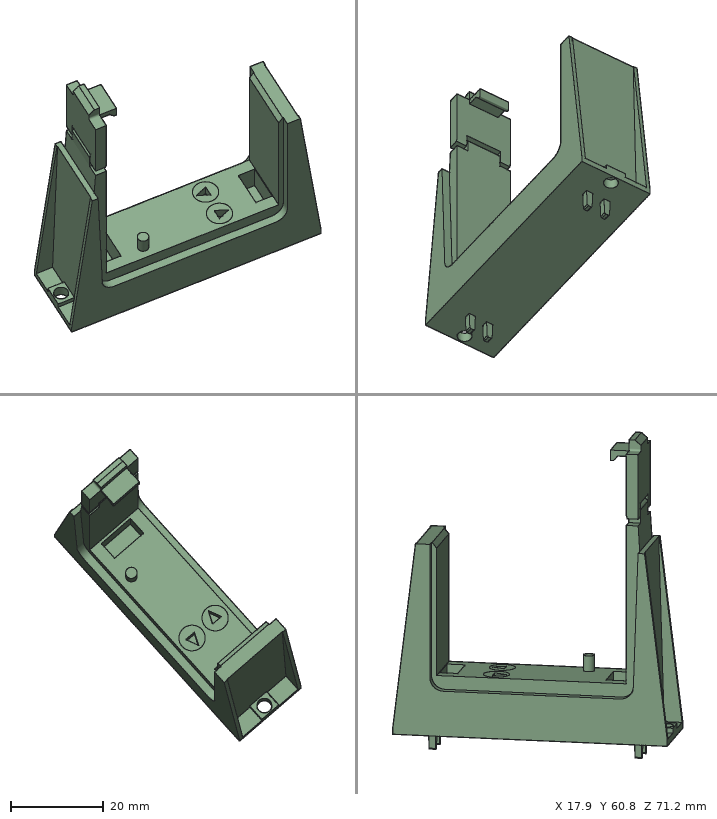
import cadquery as cq


width = 17.9
length = 60.8
leg_height = 42.75
leg_top_length = 50.7
foot_height = 1.5

channel_floor = 10.1
channel_radius = 3.0
channel_back = 22.15
channel_front_low = -22.8
channel_front_high = -23.95

liner_width = 14.05
liner_floor = 13.1
liner_back = 21.0
liner_bevel_length = 1.0
liner_bevel_height = 1.2
arm_inner = -20.95
arm_outer = -23.6
arm_top = 48.45

tongue_width = 8.4
tongue_edge = 51.45
tongue_top = 52.2

flange = 0.9
pocket_floor_y = 26.4
pocket_top_y = 25.2
boss_width = 4.9
boss_height = 2.6
mount_hole_diameter = 3.2
mount_hole_y = 28.4

latch_pocket_width = 8.4
latch_pocket_depth = 5.7
back_pocket_start = 16.9
back_pocket_end = 20.9
front_pocket_start = -20.3
front_pocket_end = -15.95

button_diameter = 5.7
button_height = 2.85
button_x = 3.35
button_y = 8.5
arrow_width = 2.5
arrow_base = -0.65
arrow_tip = 2.2
arrow_depth = 2.15

post_diameter = 2.5
post_height = 3.5
post_x = 4.1
post_y = -10.55

latch_bottom = 49.95
latch_shoulder = 64.35
latch_top = 66.8
latch_head_width = 7.5
latch_bevel_length = 1.35
latch_bevel_height = 1.15
latch_corner_radius = 0.5
latch_heel_depth = 0.2
latch_heel_height = 0.7
notch_width = 8.8
notch_top = 52.95
hook_end = -16.8
hook_thickness = 1.3
hook_drop = 2.35
hook_tip_end = -17.45
hook_ramp_end = -18.45
hook_tip_radius = 0.2

pin_length = 4.4
pin_depth = 1.5
pin_root_width = 1.65
pin_end_width = 1.3
pin_bevel = 0.3
pin_x = 2.3
pin_y = 22.8


def side_profile(points, across):
    """Extrude a closed (Y, Z) outline symmetrically about X = 0."""
    return cq.Workplane("YZ").polyline(points).close().extrude(across / 2, both=True)


def block(across, y_range, z_range):
    """Box centred on X = 0 between the given Y and Z limits."""
    size_y = y_range[1] - y_range[0]
    size_z = z_range[1] - z_range[0]
    return (
        cq.Workplane("XY")
        .box(across, size_y, size_z, centered=(True, False, False))
        .translate((0, y_range[0], z_range[0]))
    )


def make_cradle():
    half_length = length / 2
    half_top = leg_top_length / 2
    shell = side_profile(
        [
            (-half_length, 0),
            (half_length, 0),
            (half_length, foot_height),
            (half_top, leg_height),
            (-half_top, leg_height),
            (-half_length, foot_height),
        ],
        width,
    )
    channel = side_profile(
        [
            (channel_back, channel_floor),
            (channel_back, leg_height),
            (channel_front_high, leg_height),
            (channel_front_low, channel_floor),
        ],
        width,
    )
    return shell.cut(channel.edges("|X and <Z").fillet(channel_radius))


def make_liner():
    return side_profile(
        [
            (channel_back, channel_floor),
            (channel_back, leg_height),
            (liner_back + liner_bevel_length, leg_height),
            (liner_back, leg_height - liner_bevel_height),
            (liner_back, liner_floor),
            (arm_inner, liner_floor),
            (arm_inner, arm_top),
            (arm_outer, arm_top),
            (channel_front_high, leg_height),
            (channel_front_low, channel_floor),
        ],
        liner_width,
    )


def make_tongue():
    """Tongue on the arm, with a top crowned from front to back."""
    return (
        cq.Workplane("YZ")
        .moveTo(arm_inner, arm_top)
        .lineTo(arm_inner, tongue_edge)
        .threePointArc(((arm_inner + arm_outer) / 2, tongue_top), (arm_outer, tongue_edge))
        .lineTo(arm_outer, arm_top)
        .close()
        .extrude(tongue_width / 2, both=True)
    )


def make_end_pocket():
    """Pocket in the +Y end, deepest at the floor and very shallow at the top of the leg."""
    return side_profile(
        [
            (pocket_floor_y, foot_height),
            (length / 2, foot_height),
            (leg_top_length / 2, leg_height),
            (pocket_top_y, leg_height),
        ],
        width - 2 * flange,
    )


def make_end_boss():
    """Boss on the +Y end floor, rooted in the leg behind the pocket wall."""
    return block(boss_width, (leg_top_length / 2, length / 2), (0, boss_height))


def make_housing():
    housing = make_cradle().union(make_liner()).union(make_tongue())
    for turn in (0, 180):
        housing = housing.cut(make_end_pocket().rotate((0, 0, 0), (0, 0, 1), turn))
        housing = housing.union(make_end_boss().rotate((0, 0, 0), (0, 0, 1), turn))
    mount_holes = (
        cq.Workplane("XY")
        .pushPoints([(0, mount_hole_y), (0, -mount_hole_y)])
        .circle(mount_hole_diameter / 2)
        .extrude(boss_height)
    )
    housing = housing.cut(mount_holes)
    pocket_heights = (liner_floor - latch_pocket_depth, liner_floor)
    for y_range in ((back_pocket_start, back_pocket_end), (front_pocket_start, front_pocket_end)):
        housing = housing.cut(block(latch_pocket_width, y_range, pocket_heights))
    button_seats = (
        cq.Workplane("XY", origin=(0, 0, liner_floor))
        .pushPoints([(-button_x, button_y), (button_x, button_y)])
        .circle(button_diameter / 2)
        .extrude(-button_height)
    )
    return housing.cut(button_seats)


def make_button(x, arrow_turn):
    """Round button flush with the liner floor, with a sunk arrow turned about its centre."""
    body = cq.Workplane("XY").circle(button_diameter / 2).extrude(-button_height)
    arrow = (
        cq.Workplane("XY")
        .polyline([(-arrow_width / 2, arrow_base), (arrow_width / 2, arrow_base), (0, arrow_tip)])
        .close()
        .extrude(-arrow_depth)
        .rotate((0, 0, 0), (0, 0, 1), arrow_turn)
    )
    return body.cut(arrow).translate((x, button_y, liner_floor))


def make_post():
    return (
        cq.Workplane("XY", origin=(post_x, post_y, liner_floor))
        .circle(post_diameter / 2)
        .extrude(post_height)
    )


def make_latch_outline():
    """Plate outline seen along Y: wide body, narrow head, notch around the tongue."""
    half_body = liner_width / 2
    half_head = latch_head_width / 2
    half_notch = notch_width / 2
    depth = arm_inner - arm_outer
    plate = (
        cq.Workplane("XZ", origin=(0, arm_inner, 0))
        .polyline(
            [
                (-half_body, latch_bottom),
                (-half_notch, latch_bottom),
                (-half_notch, notch_top),
                (half_notch, notch_top),
                (half_notch, latch_bottom),
                (half_body, latch_bottom),
                (half_body, latch_shoulder),
                (half_head, latch_shoulder),
                (half_head, latch_top),
                (-half_head, latch_top),
                (-half_head, latch_shoulder),
                (-half_body, latch_shoulder),
            ]
        )
        .close()
        .extrude(depth)
    )
    head_corners = cq.selectors.BoxSelector(
        (-half_head - latch_corner_radius, arm_outer, latch_shoulder - latch_corner_radius),
        (half_head + latch_corner_radius, arm_inner, latch_shoulder + latch_corner_radius),
    )
    return plate.edges("|Y").edges(head_corners).fillet(latch_corner_radius)


def make_latch():
    """Plate with a bevelled head, a trimmed heel and a hook reaching over the channel."""
    plate_side = side_profile(
        [
            (arm_inner - latch_heel_depth, latch_bottom),
            (arm_inner, latch_bottom + latch_heel_height),
            (arm_inner, latch_top),
            (arm_outer + latch_bevel_length, latch_top),
            (arm_outer, latch_top - latch_bevel_height),
            (arm_outer, latch_bottom),
        ],
        liner_width,
    )
    hook = side_profile(
        [
            (arm_inner, latch_shoulder),
            (hook_end, latch_shoulder),
            (hook_end, latch_shoulder - hook_drop),
            (hook_tip_end, latch_shoulder - hook_drop),
            (hook_ramp_end, latch_shoulder - hook_thickness),
            (arm_inner, latch_shoulder - hook_thickness),
        ],
        latch_head_width,
    )
    hook = hook.faces("<Z").edges("|X").fillet(hook_tip_radius)
    return make_latch_outline().intersect(plate_side).union(hook)


def make_pin(x, y):
    """Tapered flat pin hanging from the base, with a bevelled end."""
    half_root = pin_root_width / 2
    half_end = pin_end_width / 2
    return (
        cq.Workplane("XZ")
        .polyline(
            [
                (-half_root, 0),
                (half_root, 0),
                (half_end, pin_bevel - pin_length),
                (half_end - pin_bevel, -pin_length),
                (pin_bevel - half_end, -pin_length),
                (-half_end, pin_bevel - pin_length),
            ]
        )
        .close()
        .extrude(pin_depth / 2, both=True)
        .translate((x, y, 0))
    )


housing = make_housing()
latch = make_latch()
post = make_post()
buttons = [make_button(x, turn) for x, turn in ((-button_x, 180), (button_x, 0))]
pins = [make_pin(x, y) for x in (-pin_x, pin_x) for y in (-pin_y, pin_y)]

result = cq.Compound.makeCompound(
    [
        housing.val(),
        latch.val(),
        post.val(),
        *[button.val() for button in buttons],
        *[pin.val() for pin in pins],
    ]
)